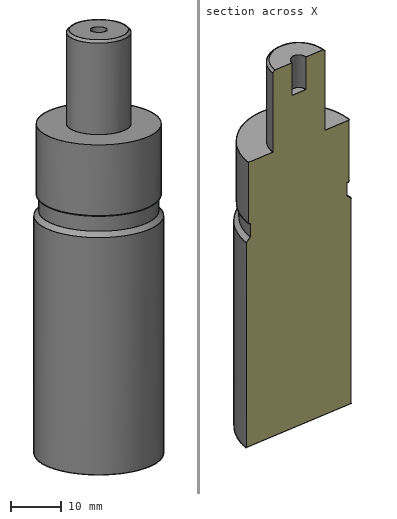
import cadquery as cq

total_length = 90.0
body_diameter = 26.0

body_length = 51.5
neck_diameter = 24.0
neck_length = 3.2
collar_diameter = 25.0
shaft_length = 20.0
shaft_diameter = 13.0

body_chamfer = (body_diameter - neck_diameter) / 2
collar_chamfer = 0.3
shaft_chamfer = 0.5
hole_diameter = 3.3
hole_depth = 8.0

collar_bottom = body_length + neck_length
collar_length = total_length - shaft_length - collar_bottom


def cylinder(diameter, bottom, length):
    """Solid cylinder on the Z axis, starting at height bottom."""
    return cq.Workplane("XY").workplane(offset=bottom).circle(diameter / 2).extrude(length)


body = cylinder(body_diameter, 0, body_length).faces(">Z").edges().chamfer(body_chamfer)
neck = cylinder(neck_diameter, body_length, neck_length)
collar = cylinder(collar_diameter, collar_bottom, collar_length).faces("<Z").edges().chamfer(collar_chamfer)

shaft = cylinder(shaft_diameter, total_length - shaft_length, shaft_length)
shaft = shaft.faces(">Z").edges().chamfer(shaft_chamfer)

hole = cylinder(hole_diameter, total_length - hole_depth, hole_depth)

result = body.union(neck).union(collar).union(shaft).cut(hole)